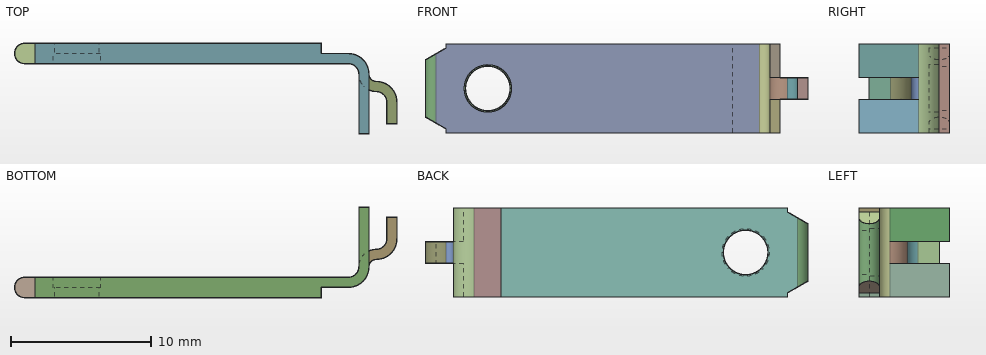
import cadquery as cq
import math

length = 27.25
width = 6.35
depth = 6.45
fold_diameter = 1.47
sheet = fold_diameter / 2
back_layer_end = 21.85
leg_outer_x = 25.25
bend_inner_radius = sheet
bend_outer_radius = bend_inner_radius + sheet

nose_length = 1.45
nose_tip_width = 4.1
nose_angle = 30

hole_x = 4.45
front_hole_diameter = 3.38
back_hole_diameter = 3.15

tab_width = 1.55
tab_end_gap = 0.7

fold_radius = sheet
nose_root_width = nose_tip_width + 2 * nose_length * math.tan(math.radians(nose_angle))
leg_inner_x = leg_outer_x - sheet
bend_x = leg_outer_x - bend_outer_radius
bend_y = -bend_outer_radius
leg_end_y = sheet - depth
tab_bend_x = length - bend_outer_radius
tab_small_radius = tab_bend_x - leg_outer_x
tab_large_radius = tab_small_radius + sheet
tab_top_y = bend_y - tab_small_radius
tab_bottom_y = tab_top_y - sheet
tab_bend_y = tab_top_y - bend_outer_radius
tab_end_y = leg_end_y + tab_end_gap


def arc_point(center_x, center_y, radius, degrees):
    """Point on a circle, measured counterclockwise from +X."""
    angle = math.radians(degrees)
    return (center_x + radius * math.cos(angle), center_y + radius * math.sin(angle))


def make_folded_strip():
    """Folded double layer, outer bend and full-width leg."""
    profile = (
        cq.Workplane("XY")
        .moveTo(fold_radius, -sheet)
        .threePointArc((0, 0), (fold_radius, sheet))
        .lineTo(back_layer_end, sheet)
        .lineTo(back_layer_end, 0)
        .lineTo(bend_x, 0)
        .threePointArc(arc_point(bend_x, bend_y, bend_outer_radius, 45), (leg_outer_x, bend_y))
        .lineTo(leg_outer_x, leg_end_y)
        .lineTo(leg_inner_x, leg_end_y)
        .lineTo(leg_inner_x, bend_y)
        .threePointArc(arc_point(bend_x, bend_y, bend_inner_radius, 45), (bend_x, -sheet))
        .close()
    )
    return profile.extrude(width / 2, both=True)


def make_nose_cutter():
    """Material removed above the nose: a sloped edge ending in a square shoulder."""
    return (
        cq.Workplane("XZ")
        .moveTo(0, nose_tip_width / 2)
        .lineTo(nose_length, nose_root_width / 2)
        .lineTo(nose_length, width / 2)
        .lineTo(0, width / 2)
        .close()
        .extrude(sheet, both=True)
    )


def make_hole_cutter():
    """Stepped hole through both layers."""
    plane = cq.Workplane("XZ").center(hole_x, 0)
    front_hole = plane.circle(front_hole_diameter / 2).extrude(sheet)
    back_hole = plane.circle(back_hole_diameter / 2).extrude(-sheet)
    return front_hole.union(back_hole)


def make_leg_slot():
    """Gap left in the leg where the tab is bent out."""
    return (
        cq.Workplane("XY")
        .moveTo(leg_inner_x, bend_y)
        .lineTo(leg_outer_x, bend_y)
        .lineTo(leg_outer_x, leg_end_y)
        .lineTo(leg_inner_x, leg_end_y)
        .close()
        .extrude(tab_width / 2, both=True)
    )


def make_tab():
    """S-bent tab: curves away from the leg, then turns parallel to it."""
    profile = (
        cq.Workplane("XY")
        .moveTo(leg_inner_x, bend_y)
        .lineTo(leg_outer_x, bend_y)
        .threePointArc(arc_point(tab_bend_x, bend_y, tab_small_radius, 225), (tab_bend_x, tab_top_y))
        .threePointArc(arc_point(tab_bend_x, tab_bend_y, bend_outer_radius, 45), (length, tab_bend_y))
        .lineTo(length, tab_end_y)
        .lineTo(length - sheet, tab_end_y)
        .lineTo(length - sheet, tab_bend_y)
        .threePointArc(
            arc_point(tab_bend_x, tab_bend_y, bend_inner_radius, 45), (tab_bend_x, tab_bottom_y)
        )
        .threePointArc(arc_point(tab_bend_x, bend_y, tab_large_radius, 225), (leg_inner_x, bend_y))
        .close()
    )
    return profile.extrude(tab_width / 2, both=True)


nose_cutter = make_nose_cutter()
result = (
    make_folded_strip()
    .cut(nose_cutter)
    .cut(nose_cutter.mirror("XY"))
    .cut(make_hole_cutter())
    .cut(make_leg_slot())
    .union(make_tab())
)